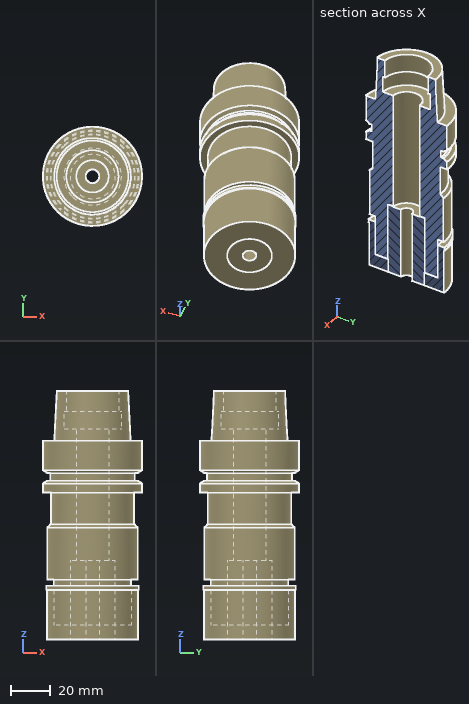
import cadquery as cq

TOTAL_LENGTH = 125.0
NUT_HEIGHT = 27.1

SHANK_LENGTH = 25.0
SHANK_TOP_RADIUS = 18.0
SHANK_TAPER = 0.05
SHANK_BASE_RADIUS = SHANK_TOP_RADIUS + SHANK_TAPER * SHANK_LENGTH
SHANK_BASE_Z = TOTAL_LENGTH - SHANK_LENGTH

FLANGE_RADIUS = 25.0
FLANGE_BOTTOM_Z = 73.9
GROOVE_RADIUS = 21.4
GROOVE_SHOULDER_RADIUS = 22.8
GROOVE_BOTTOM_Z = 78.5
GROOVE_TOP_Z = 85.2
GROOVE_SLOPE_HEIGHT = 1.5

COLLAR_RADIUS = 21.0
BODY_RADIUS = 22.9
BODY_TOP_Z = 58.1
BODY_CHAMFER_HEIGHT = 1.9
BODY_BOTTOM_Z = 30.1
NECK_RADIUS = 19.5

MOUTH_RADIUS = 13.1
MOUTH_DEPTH = 10.2
UNDERCUT_RADIUS = 14.4
UNDERCUT_DEPTH = 19.0
BORE_RADIUS = 8.1

COLLET_RADIUS = 11.2
COLLET_LENGTH = 40.0
COLLET_BORE_RADIUS = 3.4

NUT_RADIUS = 23.0
NUT_FRONT_WALL = 7.5
RIM_RADIUS = 23.4
RIM_HEIGHT = 2.0
RIM_CHAMFER_HEIGHT = 0.2


def revolve_profile(points):
    """Revolve a closed (radius, z) outline around the Z axis."""
    return cq.Workplane("XZ").polyline(points).close().revolve(360, (0, 0, 0), (0, 1, 0))


def cylinder(radius, bottom_z, top_z):
    return cq.Workplane("XY").workplane(offset=bottom_z).circle(radius).extrude(top_z - bottom_z)


def make_holder():
    outside = revolve_profile([
        (0, NUT_FRONT_WALL),
        (NECK_RADIUS, NUT_FRONT_WALL),
        (NECK_RADIUS, BODY_BOTTOM_Z),
        (BODY_RADIUS, BODY_BOTTOM_Z),
        (BODY_RADIUS, BODY_TOP_Z - BODY_CHAMFER_HEIGHT),
        (COLLAR_RADIUS, BODY_TOP_Z),
        (COLLAR_RADIUS, FLANGE_BOTTOM_Z),
        (FLANGE_RADIUS, FLANGE_BOTTOM_Z),
        (FLANGE_RADIUS, GROOVE_BOTTOM_Z),
        (GROOVE_SHOULDER_RADIUS, GROOVE_BOTTOM_Z + GROOVE_SLOPE_HEIGHT),
        (GROOVE_RADIUS, GROOVE_BOTTOM_Z + GROOVE_SLOPE_HEIGHT),
        (GROOVE_RADIUS, GROOVE_TOP_Z - GROOVE_SLOPE_HEIGHT),
        (GROOVE_SHOULDER_RADIUS, GROOVE_TOP_Z - GROOVE_SLOPE_HEIGHT),
        (FLANGE_RADIUS, GROOVE_TOP_Z),
        (FLANGE_RADIUS, SHANK_BASE_Z),
        (SHANK_BASE_RADIUS, SHANK_BASE_Z),
        (SHANK_TOP_RADIUS, TOTAL_LENGTH),
        (0, TOTAL_LENGTH),
    ])
    mouth_bottom_z = TOTAL_LENGTH - MOUTH_DEPTH
    mouth = cylinder(MOUTH_RADIUS, mouth_bottom_z, TOTAL_LENGTH)
    undercut = cylinder(UNDERCUT_RADIUS, TOTAL_LENGTH - UNDERCUT_DEPTH, mouth_bottom_z)
    bore = cylinder(BORE_RADIUS, 0, TOTAL_LENGTH)
    collet_socket = cylinder(COLLET_RADIUS, 0, COLLET_LENGTH)
    return outside.cut(mouth).cut(undercut).cut(bore).cut(collet_socket)


def make_collet():
    sleeve = cylinder(COLLET_RADIUS, 0, COLLET_LENGTH)
    return sleeve.cut(cylinder(COLLET_BORE_RADIUS, 0, COLLET_LENGTH))


def make_nut():
    """Cup that surrounds the holder neck, with a front wall pierced by the collet."""
    rim_bottom_z = NUT_HEIGHT - RIM_HEIGHT
    return revolve_profile([
        (COLLET_RADIUS, 0),
        (NUT_RADIUS, 0),
        (NUT_RADIUS, rim_bottom_z - RIM_CHAMFER_HEIGHT),
        (RIM_RADIUS, rim_bottom_z),
        (RIM_RADIUS, NUT_HEIGHT),
        (NECK_RADIUS, NUT_HEIGHT),
        (NECK_RADIUS, NUT_FRONT_WALL),
        (COLLET_RADIUS, NUT_FRONT_WALL),
    ])


holder = make_holder()
collet = make_collet()
nut = make_nut()

result = cq.Compound.makeCompound([holder.val(), collet.val(), nut.val()])